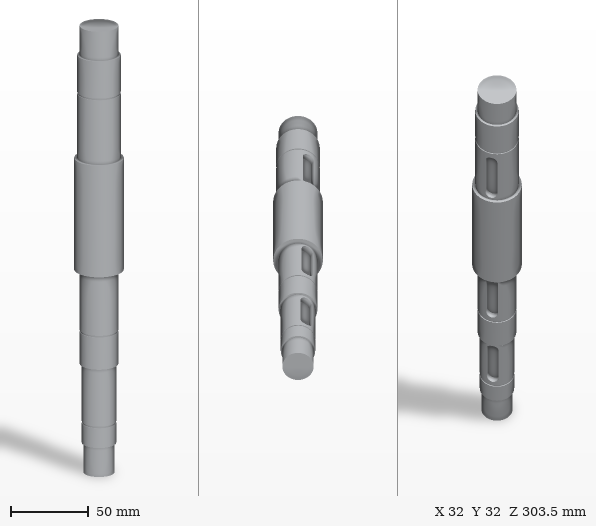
import cadquery as cq

length = 303.5

collar_diameter = 32.0
upper_diameter = 28.0
middle_diameter = 25.0
lower_diameter = 22.2
end_diameter = 20.0
sections = [
    (middle_diameter, 19.7),
    (upper_diameter, 89.8),
    (collar_diameter, 165.7),
    (middle_diameter, 229.7),
    (lower_diameter, 283.5),
    (end_diameter, length),
]

groove_width = 1.2
groove_cut = 0.5
grooves = [
    (upper_diameter, 45.0),
    (middle_diameter, 206.7),
    (lower_diameter, 269.0),
]

keyway_cut = 4.0
keyway_width = 8.0
keyways = [
    (upper_diameter, 50.0, 88.0),
    (middle_diameter, 167.2, 203.3),
    (lower_diameter, 232.0, 266.0),
]


def height(depth):
    """Z of a place given by its depth below the top end; the shaft is centred on the origin."""
    return length / 2 - depth


def disc(diameter, upper, lower):
    """Solid cylinder on the shaft axis between two depths."""
    return cq.Workplane("XY", origin=(0, 0, height(lower))).circle(diameter / 2).extrude(lower - upper)


def groove_ring(diameter, upper):
    """Ring that cuts a shallow groove into a shaft section."""
    lower = upper + groove_width
    return disc(diameter, upper, lower).cut(disc(diameter - 2 * groove_cut, upper, lower))


def key(diameter, upper, lower):
    """Round-ended bar reaching from the keyway floor out past the shaft surface."""
    floor = diameter / 2 - keyway_cut
    middle = height((upper + lower) / 2)
    return (
        cq.Workplane("XZ", origin=(0, floor, middle))
        .slot2D(lower - upper, keyway_width, 90)
        .extrude(-collar_diameter / 2)
    )


result = cq.Workplane("XY")
section_top = 0.0
for diameter, section_end in sections:
    result = result.union(disc(diameter, section_top, section_end))
    section_top = section_end

for diameter, upper in grooves:
    result = result.cut(groove_ring(diameter, upper))

for diameter, upper, lower in keyways:
    result = result.cut(key(diameter, upper, lower))